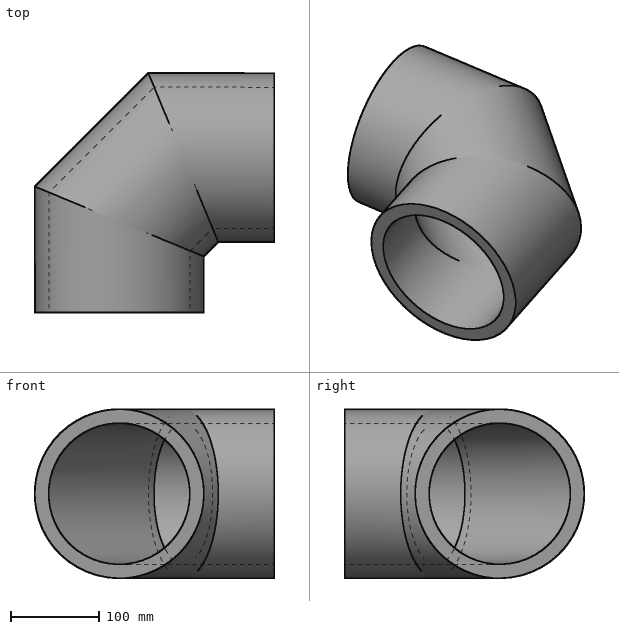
import cadquery as cq

overall_size = 272.0
outer_diameter = 192.0
inner_diameter = 160.2
leg_length = 103.4

outer_radius = outer_diameter / 2
inlet_x = outer_radius
outlet_y = overall_size - outer_radius
first_mitre = (inlet_x, leg_length)
second_mitre = (overall_size - leg_length, outlet_y)


def mitred_bar(diameter):
    """Solid round bar following the centreline, with sharp mitred corners."""
    centreline = cq.Workplane("XY").polyline(
        [(inlet_x, 0), first_mitre, second_mitre, (overall_size, outlet_y)]
    )
    inlet_plane = cq.Plane(origin=(inlet_x, 0, 0), xDir=(1, 0, 0), normal=(0, 1, 0))
    return cq.Workplane(inlet_plane).circle(diameter / 2).sweep(centreline, transition="right")


result = mitred_bar(outer_diameter).cut(mitred_bar(inner_diameter))